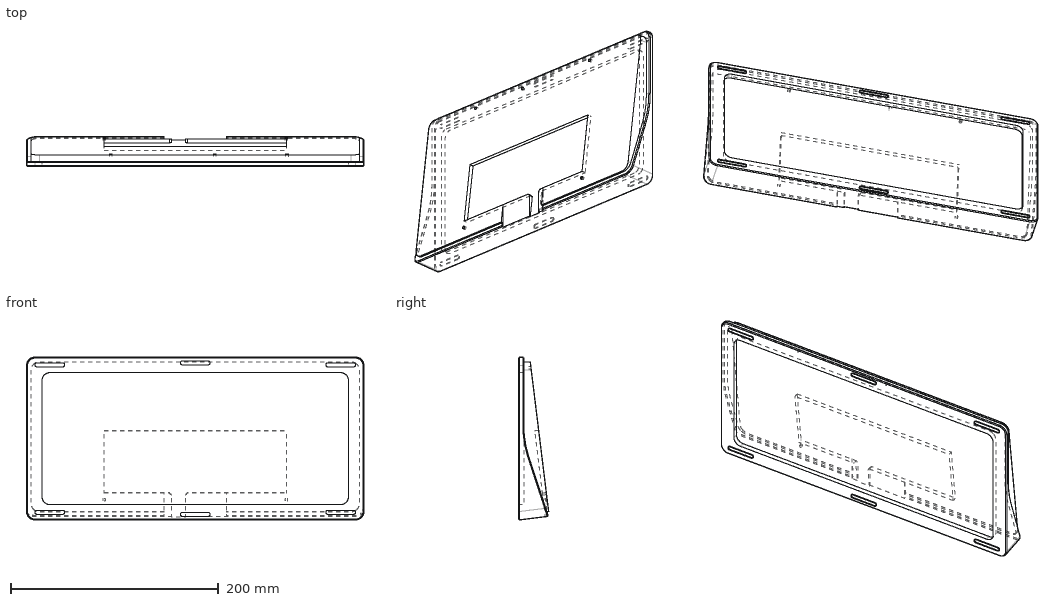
import cadquery as cq
import math

length = 325.0
height = 157.0
plate_thickness = 5.0
plate_corner = 8.0
edge_chamfer = 1.0

lean = math.radians(7.0)

foot_reach = 28.5
foot_slope = math.radians(18.2)
foot_blend = 97.5

body_inset = 4.5
body_corner = 7.8
body_reach = 29.0

tray_margin = 15.0
tray_depth = 5.0
tray_corner = 7.5

slot_length = 28.5
slot_width = 4.0
slot_depth = 1.0
corner_slot_x = 140.0
corner_slot_inset = 7.5
middle_slot_inset = 5.5

recess_length = 175.5
recess_bottom = 18.5
recess_top = 79.0
recess_depth = 4.0
channel_x = -16.2
channel_width = 13.5
channel_chamfer = 2.0
notch_length = 59.8

hole_diameter = 2.5
hole_depth = 2.0
low_hole_height = 11.7
high_hole_height = 139.8
low_hole_xs = (-87.8, 87.8)
high_hole_xs = (-81.2, 19.0, 88.5)

body_bottom_z = body_reach * math.tan(lean) + body_inset / math.cos(lean)


def extrude_across(profile, span, corner):
    """Extrude a Y-Z profile symmetrically along X and round its four outer corners."""
    block = profile.close().extrude(span / 2, both=True)
    corners = block.faces(">Z or <Z").edges("<X or >X")
    return corners.fillet(corner)


def make_shell():
    """Plate and foot in one profile, with rounded corners and chamfered rims."""
    foot_bottom_z = foot_reach * math.tan(lean)
    crease_z = foot_bottom_z + (foot_reach - plate_thickness) / math.tan(foot_slope)
    tangent = foot_blend * math.tan(foot_slope / 2)
    blend_center = (plate_thickness + foot_blend, crease_z + tangent)
    blend_low = (
        blend_center[0] - foot_blend * math.cos(foot_slope),
        blend_center[1] - foot_blend * math.sin(foot_slope),
    )
    blend_mid = (
        blend_center[0] - foot_blend * math.cos(foot_slope / 2),
        blend_center[1] - foot_blend * math.sin(foot_slope / 2),
    )
    profile = (
        cq.Workplane("YZ")
        .moveTo(0, 0)
        .lineTo(foot_reach, foot_bottom_z)
        .lineTo(*blend_low)
        .threePointArc(blend_mid, (plate_thickness, blend_center[1]))
        .lineTo(plate_thickness, height)
        .lineTo(0, height)
    )
    shell = extrude_across(profile, length, plate_corner)
    shell = shell.faces("<Y").edges().chamfer(edge_chamfer)
    return shell.faces(">Z").edges(">Y").chamfer(edge_chamfer)


def make_body():
    """Wedge behind the plate, with its back and bottom leaning together."""
    top_z = height - body_inset
    top_reach = body_reach - (top_z - body_bottom_z) * math.tan(lean)
    start_y = plate_thickness
    start_z = body_bottom_z - (body_reach - start_y) * math.tan(lean)
    profile = (
        cq.Workplane("YZ")
        .moveTo(start_y, start_z)
        .lineTo(body_reach, body_bottom_z)
        .lineTo(top_reach, top_z)
        .lineTo(start_y, top_z)
    )
    return extrude_across(profile, length - 2 * body_inset, body_corner)


def back_plane():
    """Workplane on the leaning back face: x runs toward -X, y runs up the slope."""
    return cq.Workplane(
        cq.Plane(
            origin=(0, body_reach, body_bottom_z),
            xDir=(-1, 0, 0),
            normal=(0, math.cos(lean), math.sin(lean)),
        )
    )


def make_back_recess():
    """Rectangular recess with a channel that leaves through the bottom."""
    middle = (recess_bottom + recess_top) / 2
    pocket = (
        back_plane()
        .center(0, middle)
        .rect(recess_length, recess_top - recess_bottom)
        .extrude(-recess_depth)
    )
    half = channel_width / 2
    flare = half + channel_chamfer
    drop = -2 * recess_bottom
    channel = (
        back_plane()
        .center(-channel_x, recess_bottom)
        .polyline(
            [(-half, drop), (half, drop), (half, -channel_chamfer),
             (flare, 0), (-flare, 0), (-half, -channel_chamfer)]
        )
        .close()
        .extrude(-recess_depth)
    )
    return pocket.union(channel)


def make_back_notch():
    """Upright flat below the recess, level with the recess's lower lip."""
    lip_y = body_reach - recess_bottom * math.sin(lean)
    lip_z = body_bottom_z + recess_bottom * math.cos(lean)
    return cq.Workplane("XY").box(
        notch_length, body_reach, lip_z, centered=(True, False, False)
    ).translate((0, lip_y, 0))


def make_tray():
    """Rounded rectangular tray sunk into the front face."""
    return (
        cq.Workplane("XZ", origin=(0, 0, height / 2))
        .rect(length - 2 * tray_margin, height - 2 * tray_margin)
        .extrude(-tray_depth)
        .edges("|Y")
        .fillet(tray_corner)
    )


def make_slots():
    """Six round-ended slots in the front face, three along each long edge."""
    middle_z = height / 2 - middle_slot_inset
    corner_z = height / 2 - corner_slot_inset
    centers = []
    for side in (-1, 1):
        centers.append((0, side * middle_z))
        centers.append((-corner_slot_x, side * corner_z))
        centers.append((corner_slot_x, side * corner_z))
    return (
        cq.Workplane("XZ", origin=(0, 0, height / 2))
        .pushPoints(centers)
        .slot2D(slot_length, slot_width)
        .extrude(-slot_depth)
    )


def make_back_holes():
    """Two rows of small blind holes, one low and one high on the back face."""
    centers = [(-x, low_hole_height) for x in low_hole_xs]
    centers += [(-x, high_hole_height) for x in high_hole_xs]
    return back_plane().pushPoints(centers).circle(hole_diameter / 2).extrude(-hole_depth)


result = (
    make_shell()
    .union(make_body())
    .cut(make_back_recess())
    .cut(make_back_notch())
    .cut(make_tray())
    .cut(make_slots())
    .cut(make_back_holes())
)